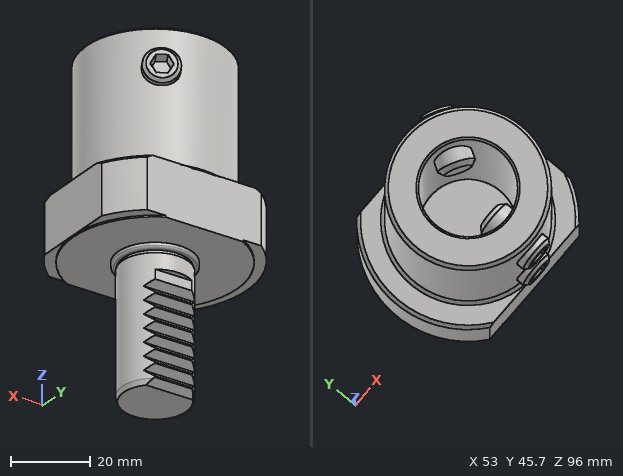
import cadquery as cq
import math

total_height = 96.0
flange_top = 56.0
flange_bottom = 40.0
seat_bottom = 39.6
collar_bottom = 38.1

sleeve_radius = 42.0 / 2
sleeve_chamfer = 1.0
root_flare = 1.0
bore_radius = 25.0 / 2
bore_depth = 50.0
bore_chamfer = 0.6

flange_radius = 28.0
flange_chamfer = 1.0
seat_radius = 25.0
end_flat_x = 25.0
side_flat_y = 22.0

collar_radius = 22.4 / 2
collar_rounding = 0.7
shank_radius = 20.0 / 2
neck_relief_radial = 0.3
neck_relief_height = 0.9
shank_end_radial = 0.5
shank_end_height = 1.6
rack_face_y = 8.3
rack_top = 32.5
groove_count = 8
top_groove_z = 27.9
tooth_pitch = top_groove_z / (groove_count - 1)
tooth_depth = 1.9
tooth_tip_width = 0.4

screw_radius = 10.0 / 2
screw_inner_end = 7.3
screw_outer_end = 23.4
screw_tip_length = 1.3
screw_tip_radial = 1.3
screw_head_length = 1.0
screw_head_radial = 1.0
hex_across_flats = 5.2
hex_depth = 4.0
top_screw_drop = 12.0
screw_spacing = 20.0
upper_screw_z = total_height - top_screw_drop
lower_screw_z = upper_screw_z - screw_spacing
front_screw_angle = -90
back_screw_angle = 60


def turned(profile):
    """Solid of revolution about Z from (radius, z) points; the axis closes the outline."""
    return cq.Workplane("XZ").polyline(profile).close().revolve(360, (0, 0), (0, 1))


def make_sleeve():
    """Sleeve with a flared root, and the blind bore to cut from it."""
    sleeve = turned([
        (0, flange_bottom),
        (sleeve_radius, flange_bottom),
        (sleeve_radius, flange_top),
        (sleeve_radius + root_flare, flange_top),
        (sleeve_radius, flange_top + root_flare),
        (sleeve_radius, total_height - sleeve_chamfer),
        (sleeve_radius - sleeve_chamfer, total_height),
        (0, total_height),
    ])
    bore_floor = total_height - bore_depth
    bore = turned([
        (0, bore_floor),
        (bore_radius, bore_floor),
        (bore_radius, total_height - bore_chamfer),
        (bore_radius + bore_chamfer, total_height),
        (0, total_height),
    ])
    return sleeve, bore


def make_flange():
    disc = turned([
        (0, seat_bottom),
        (seat_radius, seat_bottom),
        (seat_radius, flange_bottom),
        (flange_radius, flange_bottom),
        (flange_radius, flange_top - flange_chamfer),
        (flange_radius - flange_chamfer, flange_top),
        (0, flange_top),
    ])
    envelope = cq.Workplane("XY").box(
        flange_radius + end_flat_x, 2 * side_flat_y, total_height, centered=(False, True, False)
    ).translate((-flange_radius, 0, 0))
    return disc.intersect(envelope)


def make_collar():
    height = seat_bottom - collar_bottom
    collar = cq.Workplane("XY").workplane(offset=collar_bottom).circle(collar_radius).extrude(height)
    return collar.faces("<Z").edges().fillet(collar_rounding)


def make_shank():
    shank = turned([
        (0, 0),
        (shank_radius - shank_end_radial, 0),
        (shank_radius, shank_end_height),
        (shank_radius, collar_bottom - neck_relief_height),
        (shank_radius - neck_relief_radial, collar_bottom),
        (shank_radius - neck_relief_radial, flange_bottom),
        (0, flange_bottom),
    ])
    flat = cq.Workplane("XY").box(
        2 * shank_radius, shank_radius, rack_top, centered=(True, False, False)
    ).translate((0, rack_face_y, 0))
    shank = shank.cut(flat)
    half_groove = (tooth_pitch - tooth_tip_width) / 2
    for index in range(groove_count):
        groove_z = index * tooth_pitch
        groove = (
            cq.Workplane("YZ")
            .polyline([
                (rack_face_y, groove_z - half_groove),
                (rack_face_y - tooth_depth, groove_z),
                (rack_face_y, groove_z + half_groove),
            ])
            .close()
            .extrude(shank_radius, both=True)
        )
        shank = shank.cut(groove)
    return shank


def make_screw(angle, height):
    """Set screw and the hexagon socket to cut from it, with their axis at the given angle from +X."""
    screw = turned([
        (0, screw_inner_end),
        (screw_radius - screw_tip_radial, screw_inner_end),
        (screw_radius, screw_inner_end + screw_tip_length),
        (screw_radius, screw_outer_end - screw_head_length),
        (screw_radius - screw_head_radial, screw_outer_end),
        (0, screw_outer_end),
    ])
    hex_across_corners = hex_across_flats / math.cos(math.radians(30))
    socket = (
        cq.Workplane("XY")
        .workplane(offset=screw_outer_end - hex_depth)
        .polygon(6, hex_across_corners)
        .extrude(hex_depth)
        .rotate((0, 0, 0), (0, 0, 1), 90)
    )
    return place_screw(screw, angle, height), place_screw(socket, angle, height)


def place_screw(shape, angle, height):
    """Lay a shape built along Z on its side, pointing out of the sleeve."""
    lying = shape.rotate((0, 0, 0), (0, 1, 0), 90)
    return lying.rotate((0, 0, 0), (0, 0, 1), angle).translate((0, 0, height))


sleeve, bore = make_sleeve()
result = sleeve.union(make_flange()).union(make_collar()).union(make_shank()).cut(bore)

screw_positions = [
    (front_screw_angle, upper_screw_z),
    (front_screw_angle, lower_screw_z),
    (back_screw_angle, upper_screw_z),
]
for screw_angle, screw_z in screw_positions:
    screw, socket = make_screw(screw_angle, screw_z)
    result = result.union(screw).cut(socket)